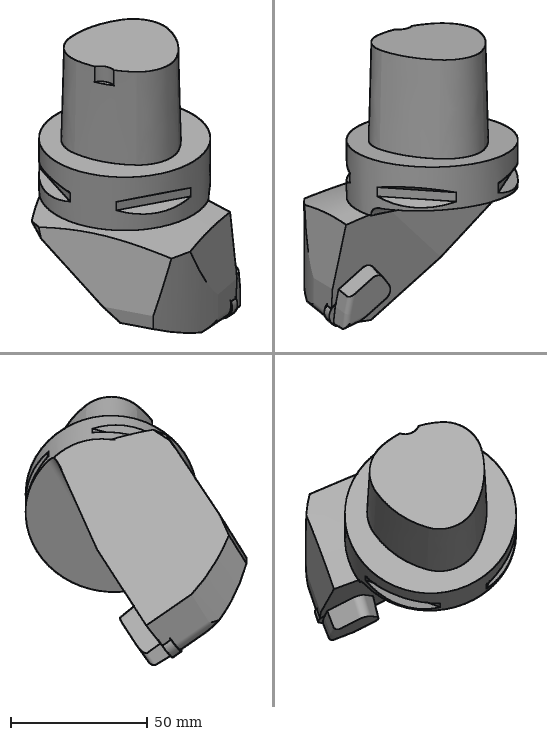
import cadquery as cq
import math


SHANK_HEIGHT = 38.0
SHANK_TAPER = math.degrees(math.atan(1 / 40))
LOBE_REACH = 23.4
FLANK_REACH = 20.6
LOBE_RADIUS = 15.3

NOTCH_RADIUS = 5.4
NOTCH_REACH = 17.95
NOTCH_DEPTH = 6.3

FLANGE_RADIUS = 63.0 / 2
FLANGE_HEIGHT = 22.0
GROOVE_Z = -12.0
GROOVE_FLOOR_HEIGHT = 3.5
GROOVE_FLOOR_REACH = 27.8
GROOVE_FLANK_ANGLE = 30.0
GROOVE_ANGLES = (45, 135, 225, 315)

HEAD_CONE_ANGLE = 15.0
FRONT_Y = -41.0
FRONT_SLOPE_END_Z = -48.5
FRONT_SLOPE_ANGLE = 14.8
FRONT_BOTTOM_Z = -53.9
HEEL_Y = -19.25
HEEL_Z = -62.5
UNDERSIDE_ANGLE = 5.6
HEEL_RADIUS = 85.0
SIDE_X = 44.25
SIDE_RELIEF = 5.4
SIDE_LEAN = 9.6
SIDE_LEAN_Z = -49.5
NOSE_RADIUS = 4.2
SWEEP_CENTER = (-14.4, -0.45)
SWEEP_RADIUS = 58.9
CORNER_POINT = (-24.4, -31.1)
CORNER_ANGLE = 37.3

SLANT_Z = -19.3
SLANT_ANGLE = 37.4
SLANT_TILT = 1.3

BACK_Y = 6.05
RELIEF_RIM_Z = -16.4
RELIEF_ANGLE = 4.8
RELIEF_FILLET = 4.0

RAKE_ANGLE = 6.0
INSERT_CENTER = (40.0, 0.15, -60.0)
INSERT_RADIUS = 5.0
INSERT_THICKNESS = 3.97

CLAMP_HEIGHT = 8.3
CLAMP_DRAFT = 3.0
CLAMP_ANGLE = 36.9
CLAMP_WIDTH = 11.9
CLAMP_HEEL = (-17.6, 9.7)
CLAMP_UPPER_LENGTH = 15.2
CLAMP_LOWER_LENGTH = 18.8
CLAMP_TOE = ((3.1, -3.4), (2.7, 3.4))
CLAMP_UPPER_HEEL_RADIUS = 3.2
CLAMP_LOWER_HEEL_RADIUS = 4.0
CLAMP_NOSE_RADIUS = 2.0

BIG = 200.0


def tan(angle):
    return math.tan(math.radians(angle))


def sin(angle):
    return math.sin(math.radians(angle))


def cos(angle):
    return math.cos(math.radians(angle))


RAKE_SLOPE = tan(RAKE_ANGLE)
RAKE_NORMAL = (RAKE_SLOPE, 1, -RAKE_SLOPE)


def outside(point, normal):
    """Block that fills the space on the normal's side of a plane."""
    return cq.Workplane(cq.Plane(point, normal=normal)).rect(BIG, BIG).extrude(BIG)


def polar(radius, angle, center=(0, 0)):
    return (center[0] + radius * cos(angle), center[1] + radius * sin(angle))


def make_shank():
    lobe_offset = LOBE_REACH - LOBE_RADIUS
    rise = LOBE_REACH - FLANK_REACH
    flank_offset = rise * (2 * lobe_offset - rise) / (lobe_offset - 2 * rise)
    flank_radius = FLANK_REACH + flank_offset
    half_flank = math.degrees(
        math.atan2(lobe_offset * sin(60), flank_offset + lobe_offset * cos(60))
    )

    def flank_point(flank_angle, turn):
        return polar(flank_radius, flank_angle + turn, polar(-flank_offset, flank_angle))

    outline = cq.Workplane("XY").moveTo(*flank_point(30, -half_flank))
    for flank_angle in (30, 150, 270):
        outline = outline.threePointArc(
            polar(FLANK_REACH, flank_angle), flank_point(flank_angle, half_flank)
        ).threePointArc(
            polar(LOBE_REACH, flank_angle + 60), flank_point(flank_angle + 120, -half_flank)
        )
    shank = outline.close().extrude(SHANK_HEIGHT, taper=SHANK_TAPER)
    notch = (
        cq.Workplane("XY", origin=(0, -NOTCH_REACH - NOTCH_RADIUS, SHANK_HEIGHT))
        .circle(NOTCH_RADIUS)
        .extrude(-NOTCH_DEPTH)
    )
    return shank.cut(notch)


def make_flange():
    flange = cq.Workplane("XY").circle(FLANGE_RADIUS).extrude(-FLANGE_HEIGHT)
    floor = GROOVE_FLOOR_HEIGHT / 2
    depth = FLANGE_RADIUS - GROOVE_FLOOR_REACH
    mouth = floor + depth * tan(GROOVE_FLANK_ANGLE)
    groove = (
        cq.Workplane("XZ", origin=(0, 0, GROOVE_Z))
        .polyline([
            (GROOVE_FLOOR_REACH, -floor),
            (FLANGE_RADIUS, -mouth),
            (FLANGE_RADIUS, mouth),
            (GROOVE_FLOOR_REACH, floor),
        ])
        .close()
        .extrude(FLANGE_RADIUS, both=True)
    )
    for angle in GROOVE_ANGLES:
        flange = flange.cut(groove.rotate((0, 0, 0), (0, 0, 1), angle))
    return flange


def underside_z(y):
    return HEEL_Z - (y - HEEL_Y) * tan(UNDERSIDE_ANGLE)


def make_head():
    front_top_y = FRONT_Y + (-FLANGE_HEIGHT - FRONT_SLOPE_END_Z) * tan(FRONT_SLOPE_ANGLE)
    chord = math.hypot(HEEL_Y - FRONT_Y, HEEL_Z - FRONT_BOTTOM_Z)
    sagitta = HEEL_RADIUS - math.sqrt(HEEL_RADIUS**2 - (chord / 2) ** 2)
    head = (
        cq.Workplane("YZ")
        .moveTo(BACK_Y, -FLANGE_HEIGHT)
        .lineTo(BACK_Y, underside_z(BACK_Y))
        .lineTo(HEEL_Y, HEEL_Z)
        .sagittaArc((FRONT_Y, FRONT_BOTTOM_Z), sagitta)
        .lineTo(FRONT_Y, FRONT_SLOPE_END_Z)
        .lineTo(front_top_y, -FLANGE_HEIGHT)
        .close()
        .extrude(BIG / 2, both=True)
    )

    head = head.cut(outside((SIDE_X, 0, 0), (1, -tan(SIDE_RELIEF), 0)))
    nose_edge = cq.selectors.NearestToPointSelector((SIDE_X, 0, underside_z(0)))
    head = head.edges(nose_edge).fillet(NOSE_RADIUS)
    lean = (1, -tan(SIDE_RELIEF), tan(SIDE_LEAN))
    head = head.cut(outside((SIDE_X, 0, SIDE_LEAN_Z), lean))

    sweep = cq.Workplane("XY").center(*SWEEP_CENTER).circle(SWEEP_RADIUS).extrude(-BIG / 2)
    head = head.intersect(sweep)
    corner_normal = (-sin(CORNER_ANGLE), -cos(CORNER_ANGLE), 0)
    head = head.cut(outside((*CORNER_POINT, 0), corner_normal))

    cone_height = (BIG - FLANGE_RADIUS) * tan(HEAD_CONE_ANGLE)
    cone = (
        cq.Workplane("XZ")
        .polyline([
            (0, -FLANGE_HEIGHT),
            (FLANGE_RADIUS, -FLANGE_HEIGHT),
            (BIG, -FLANGE_HEIGHT - cone_height),
            (BIG, -BIG),
            (0, -BIG),
        ])
        .close()
        .revolve(360, (0, 0, 0), (0, 1, 0))
    )
    return head.intersect(cone).cut(outside(INSERT_CENTER, RAKE_NORMAL))


def make_back_relief():
    """Space behind the head, below the flange."""
    inner_z = RELIEF_RIM_Z - (FLANGE_RADIUS - BACK_Y) * tan(RELIEF_ANGLE)
    outer_z = RELIEF_RIM_Z + (BIG - FLANGE_RADIUS) * tan(RELIEF_ANGLE)
    return (
        cq.Workplane("YZ")
        .polyline([(BACK_Y, inner_z), (BIG, outer_z), (BIG, -BIG), (BACK_Y, -BIG)])
        .close()
        .extrude(BIG, both=True)
        .edges(cq.selectors.NearestToPointSelector((0, BACK_Y, inner_z)))
        .fillet(RELIEF_FILLET)
    )


def make_clamp():
    """Clamp that stands on the rake plane and holds the insert down."""
    rake = cq.Plane(
        INSERT_CENTER,
        xDir=(1, -RAKE_SLOPE, 0),
        normal=(-RAKE_SLOPE, -1, RAKE_SLOPE),
    )
    lower_heel = CLAMP_HEEL
    upper_heel = polar(CLAMP_WIDTH, 90 - CLAMP_ANGLE, lower_heel)
    upper_end = polar(CLAMP_UPPER_LENGTH, -CLAMP_ANGLE, upper_heel)
    lower_end = polar(CLAMP_LOWER_LENGTH, -CLAMP_ANGLE, lower_heel)

    def height_edge(point):
        middle = rake.toWorldCoords((*point, -CLAMP_HEIGHT / 2))
        return cq.selectors.NearestToPointSelector(middle.toTuple())

    def outer_edge(start, end):
        middle_x = (start[0] + end[0]) / 2
        middle_y = (start[1] + end[1]) / 2
        middle = rake.toWorldCoords((middle_x, middle_y, -CLAMP_HEIGHT))
        return cq.selectors.NearestToPointSelector(middle.toTuple())

    clamp = (
        cq.Workplane(rake)
        .polyline([upper_heel, lower_heel, lower_end, *CLAMP_TOE, upper_end])
        .close()
        .extrude(-CLAMP_HEIGHT, taper=CLAMP_DRAFT)
    )
    clamp = clamp.edges(height_edge(upper_heel)).fillet(CLAMP_UPPER_HEEL_RADIUS)
    clamp = clamp.edges(height_edge(lower_heel)).fillet(CLAMP_LOWER_HEEL_RADIUS)
    toe_corners = (lower_end, *CLAMP_TOE, upper_end)
    nose = clamp.newObject([])
    for start, end in zip(toe_corners, toe_corners[1:]):
        nose = nose.add(clamp.edges(outer_edge(start, end)))
    return nose.fillet(CLAMP_NOSE_RADIUS)


def make_insert():
    top = cq.Plane(INSERT_CENTER, normal=RAKE_NORMAL)
    return cq.Workplane(top).circle(INSERT_RADIUS).extrude(-INSERT_THICKNESS)


insert = make_insert()

slant_normal = (-sin(SLANT_ANGLE), -tan(SLANT_TILT), -cos(SLANT_ANGLE))
holder = (
    make_flange()
    .union(make_head())
    .cut(outside((-FLANGE_RADIUS, 0, SLANT_Z), slant_normal))
    .cut(make_back_relief())
    .union(make_shank())
    .union(make_clamp())
    .cut(insert)
)

result = cq.Compound.makeCompound([holder.val(), insert.val()])